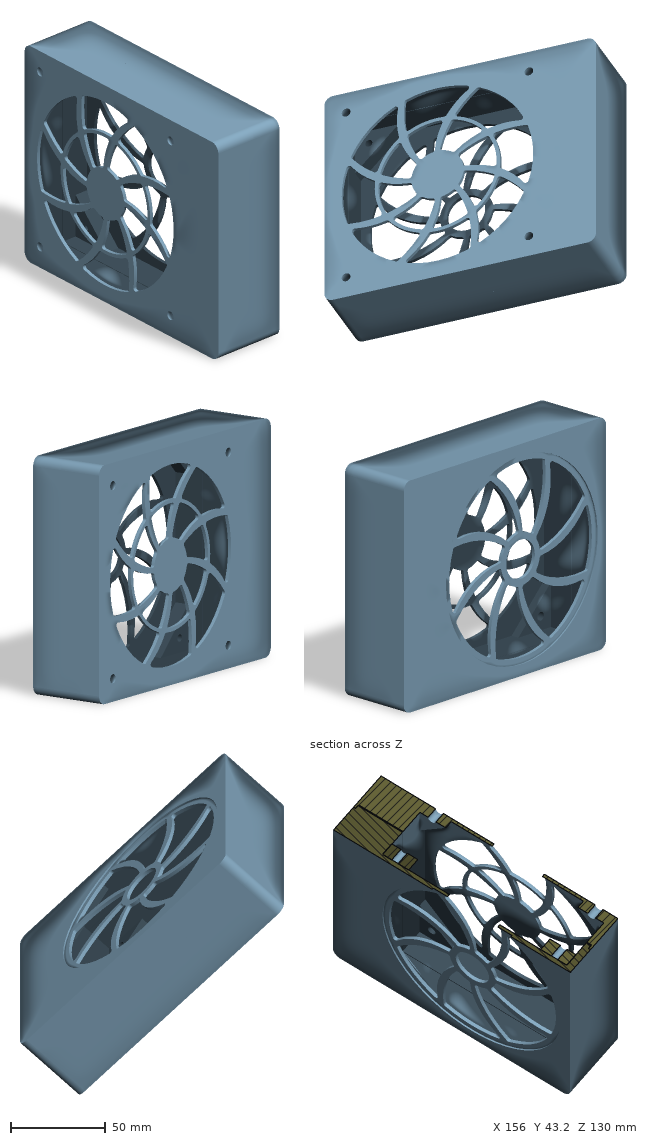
import cadquery as cq
LENGTH = 156.0
HEIGHT = 130.0
DEPTH = 43.2
CORNER_RADIUS = 5.0
BASE_DEPTH = 25.1
COVER_DEPTH = DEPTH - BASE_DEPTH

FAN_X = (HEIGHT - LENGTH) / 2
BAY_SIZE = 120.7
FRONT_WALL = 2.0
REAR_WALL = 3.0
BAY_REAR_Y = DEPTH - REAR_WALL

LIP_INSET = 1.5
LIP_DEPTH = 2.5
LIP_GAP = 0.3

GRILLE_THICKNESS = 2.0
OPENING_RADIUS = 54.99
RING_OUTER_RADIUS = 36.0
RING_INNER_RADIUS = 34.0
HUB_RADIUS = 15.0
HUB_HOLE_DIAMETER = 22.0
REAR_RECESS_RADIUS = 58.5
BLADE_COUNT = 8
BLADE_CHORD = 68.6
BLADE_OUTER_BULGE = 15.5
BLADE_INNER_BULGE = 11.0
BLADE_ANGLE = 57.1
CELL_FILLET = 1.5

SCREW_PITCH = 105.0
SCREW_HOLE_DIAMETER = 5.0
POST_HOLE_DIAMETER = 4.0
POST_LEG = 25.0
FRONT_POST_HEIGHT = 5.0
REAR_POST_HEIGHT = 8.3
CORNER_COUNT = 4


def plane_at(front_y, x=0):
    """Sketch plane facing -Y; a negative extrusion runs towards +Y."""
    return cq.Workplane("XZ", origin=(x, front_y, 0))


def rounded_block(inset, front_y, depth):
    """Block with the case outline, moved inwards by the inset."""
    outline = plane_at(front_y).rect(LENGTH - 2 * inset, HEIGHT - 2 * inset)
    return outline.extrude(-depth).edges("|Y").fillet(CORNER_RADIUS - inset)


def disc(radius, front_y, depth, x=0):
    return plane_at(front_y, x).circle(radius).extrude(-depth)


def turned(body, angle):
    """Body turned about the Y axis, from +X towards +Z."""
    return body.rotate((0, 0, 0), (0, 1, 0), -angle)


def bay(front_y, depth):
    return plane_at(front_y, FAN_X).rect(BAY_SIZE, BAY_SIZE).extrude(-depth)


def blade(front_y, depth):
    """Crescent between two arcs that both start at the hub centre."""
    middle = BLADE_CHORD / 2
    crescent = (
        plane_at(front_y)
        .threePointArc((middle, BLADE_OUTER_BULGE), (BLADE_CHORD, 0))
        .threePointArc((middle, BLADE_INNER_BULGE), (0, 0))
        .close()
        .extrude(-depth)
    )
    return turned(crescent, BLADE_ANGLE)


def grille_cells(front_y, depth, with_ring):
    """Openings that remain between the hub, the blades and the ring."""
    cells = disc(OPENING_RADIUS, front_y, depth).cut(disc(HUB_RADIUS, front_y, depth))
    if with_ring:
        ring = disc(RING_OUTER_RADIUS, front_y, depth).cut(disc(RING_INNER_RADIUS, front_y, depth))
        cells = cells.cut(ring)
    first_blade = blade(front_y, depth)
    for index in range(BLADE_COUNT):
        cells = cells.cut(turned(first_blade, index * 360 / BLADE_COUNT))
    return cells.edges("|Y").fillet(CELL_FILLET).translate((FAN_X, 0, 0))


def corner_post(corner, front_y, height, hole_diameter):
    """Triangular post with a screw hole, in one corner of the bay."""
    half = BAY_SIZE / 2
    triangle = (
        plane_at(front_y)
        .moveTo(half, half)
        .lineTo(half - POST_LEG, half)
        .lineTo(half, half - POST_LEG)
        .close()
        .extrude(-height)
    )
    hole = plane_at(front_y).center(SCREW_PITCH / 2, SCREW_PITCH / 2).circle(hole_diameter / 2).extrude(-height)
    return turned(triangle.cut(hole), corner * 360 / CORNER_COUNT).translate((FAN_X, 0, 0))


def make_base():
    """Front half of the case, with the ringed grille and the front posts."""
    rebate_depth = LIP_DEPTH + LIP_GAP
    body = rounded_block(0, 0, BASE_DEPTH)
    body = body.cut(bay(FRONT_WALL, BASE_DEPTH - FRONT_WALL))
    body = body.cut(rounded_block(LIP_INSET, BASE_DEPTH - rebate_depth, rebate_depth))
    body = body.cut(grille_cells(0, FRONT_WALL, True))
    screw_holes = (
        plane_at(0, FAN_X)
        .rect(SCREW_PITCH, SCREW_PITCH, forConstruction=True)
        .vertices()
        .circle(SCREW_HOLE_DIAMETER / 2)
        .extrude(-FRONT_WALL)
    )
    body = body.cut(screw_holes)
    for corner in range(CORNER_COUNT):
        body = body.union(corner_post(corner, FRONT_WALL, FRONT_POST_HEIGHT, SCREW_HOLE_DIAMETER))
    return body


def make_cover():
    """Rear half of the case, with the lip and the recessed open-hub grille."""
    lip_y = BASE_DEPTH - LIP_DEPTH
    body = rounded_block(0, BASE_DEPTH, COVER_DEPTH)
    body = body.union(rounded_block(LIP_INSET, lip_y, LIP_DEPTH))
    body = body.cut(bay(lip_y, BAY_REAR_Y - lip_y))
    body = body.cut(grille_cells(BAY_REAR_Y, REAR_WALL, False))
    body = body.cut(disc(HUB_HOLE_DIAMETER / 2, BAY_REAR_Y, REAR_WALL, FAN_X))
    recess_y = BAY_REAR_Y + GRILLE_THICKNESS
    return body.cut(disc(REAR_RECESS_RADIUS, recess_y, DEPTH - recess_y, FAN_X))


def make_rear_posts():
    """Four separate posts standing on the rear wall of the bay."""
    front_y = BAY_REAR_Y - REAR_POST_HEIGHT
    return [
        corner_post(corner, front_y, REAR_POST_HEIGHT, POST_HOLE_DIAMETER)
        for corner in range(CORNER_COUNT)
    ]


base = make_base()
cover = make_cover()
rear_posts = make_rear_posts()
result = cq.Compound.makeCompound([base.val(), cover.val(), *[post.val() for post in rear_posts]])